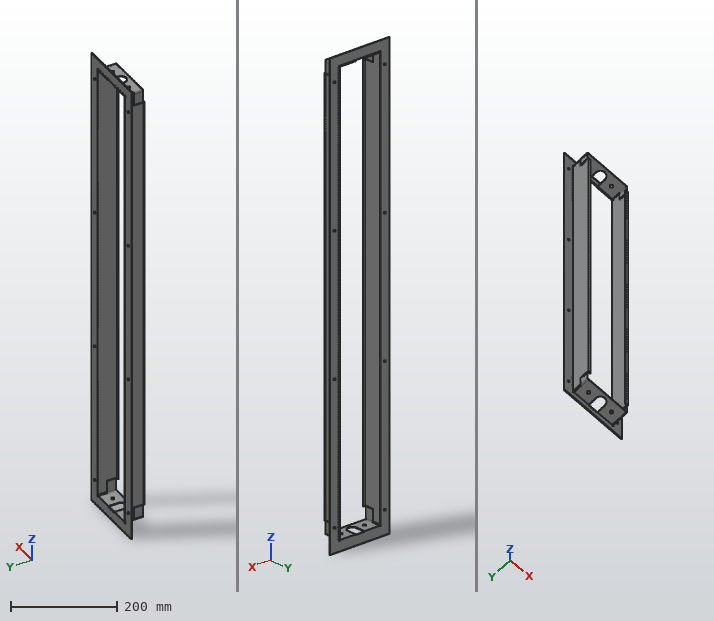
import cadquery as cq

length = 1020.0
flange_width = 150.0
depth = 43.0
sheet = 2.0

opening_width = 105.0
opening_height = 975.0
screw_diameter = 4.0
screw_x = 63.0
screw_pitch = 305.0
screw_rows = 4

wall_half_span = 52.0
wall_length = 969.0
lip_width = 7.0

lip_clearance = 0.8
end_depth = depth - sheet - lip_clearance
end_hole_diameter = 6.0
end_hole_x = 30.0
end_hole_depth = 20.0
slot_radius = 11.0
slot_depth = 33.0

tab_start = 20.0
tab_end = 459.0
bend_radius = 0.5

opening_half_height = opening_height / 2
end_inner = opening_half_height - sheet
wall_inner = wall_half_span - sheet


def box(x_range, y_range, z_range):
    """Box between two limits along each axis."""
    size = [high - low for low, high in (x_range, y_range, z_range)]
    return cq.Workplane("XY").box(*size, centered=False).translate((x_range[0], y_range[0], z_range[0]))


def make_flange():
    """Flat rectangular flange with a large opening and two columns of screw holes; its back is at Y = 0."""
    flange = cq.Workplane("XZ").rect(flange_width, length).extrude(sheet)
    opening = cq.Workplane("XZ").rect(opening_width, opening_height).extrude(sheet)
    screw_holes = (
        cq.Workplane("XZ")
        .rarray(2 * screw_x, screw_pitch, 2, screw_rows)
        .circle(screw_diameter / 2)
        .extrude(sheet)
    )
    return flange.cut(opening).cut(screw_holes)


def make_tabbed_strip():
    """Front part of the upper end plate, an upside-down U whose legs are the two tabs."""
    y_range = (-end_depth, -tab_start)
    outside = box((-wall_half_span, wall_half_span), y_range, (tab_end, opening_half_height))
    inside = box((-wall_inner, wall_inner), y_range, (0, end_inner))
    outside = outside.edges("|Y and >Z").fillet(bend_radius + sheet)
    inside = inside.edges("|Y and >Z").fillet(bend_radius)
    return outside.cut(inside)


def make_end():
    """Upper end plate with its tabs, a round-ended slot open to the flange and two screw holes."""
    plate = box((-wall_inner, wall_inner), (-tab_start, 0), (end_inner, opening_half_height))
    slot = (
        cq.Workplane("XY", origin=(0, 0, end_inner))
        .moveTo(-slot_radius, 0)
        .lineTo(-slot_radius, slot_radius - slot_depth)
        .threePointArc((0, -slot_depth), (slot_radius, slot_radius - slot_depth))
        .lineTo(slot_radius, 0)
        .close()
        .extrude(sheet)
    )
    holes = (
        cq.Workplane("XY", origin=(0, -end_hole_depth, end_inner))
        .pushPoints([(-end_hole_x, 0), (end_hole_x, 0)])
        .circle(end_hole_diameter / 2)
        .extrude(sheet)
    )
    return plate.union(make_tabbed_strip()).cut(slot).cut(holes)


def make_frame():
    """Flange with an end plate folded forward at the top and bottom of its opening."""
    end = make_end()
    return make_flange().union(end).union(end.mirror("XY"))


def make_wall(side):
    """Long side wall with an inward lip at the front and a notch for a tab at each end."""
    top = wall_length / 2
    wall = box((wall_inner, wall_half_span), (-depth, 0), (-top, top))
    notch = box((wall_inner, wall_half_span), (-depth, -tab_start), (tab_end, top))
    lip = box((wall_half_span - lip_width, wall_half_span), (-depth, sheet - depth), (-tab_end, tab_end))
    wall = wall.cut(notch).cut(notch.mirror("XY")).union(lip)
    return wall if side > 0 else wall.mirror("YZ")


frame = make_frame()
walls = [make_wall(side) for side in (-1, 1)]
result = cq.Compound.makeCompound([frame.val(), *[wall.val() for wall in walls]])